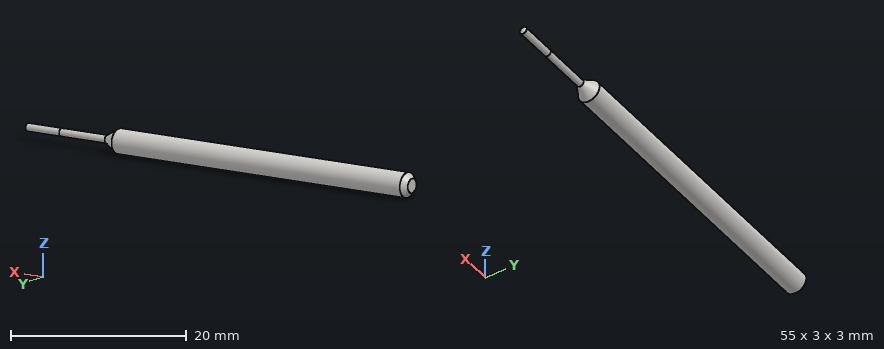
import cadquery as cq
import math

overall_length = 55.0
shank_diameter = 3.0
cutter_diameter = 1.0
cutter_length = 5.0

end_chamfer = 0.65
neck_diameter = cutter_diameter
neck_length = 6.5
taper_half_angle = 30.0

tip_angle = 140.0

shank_radius = shank_diameter / 2
neck_radius = neck_diameter / 2
cutter_radius = cutter_diameter / 2
taper_length = (shank_radius - neck_radius) / math.tan(math.radians(taper_half_angle))
tip_height = cutter_radius / math.tan(math.radians(tip_angle / 2))

cutter_start = overall_length - cutter_length
neck_start = cutter_start - neck_length
taper_start = neck_start - taper_length
tip_start = overall_length - tip_height


def turned_body(outline):
    """Revolve a closed half outline of (x, -radius) points about the X axis."""
    return cq.Workplane("XY").polyline(outline).close().revolve(360, (0, 0, 0), (1, 0, 0))


def make_shank():
    """Chamfered shank that tapers down to a slim neck."""
    return turned_body([
        (0, 0),
        (0, -(shank_radius - end_chamfer)),
        (end_chamfer, -shank_radius),
        (taper_start, -shank_radius),
        (neck_start, -neck_radius),
        (cutter_start, -neck_radius),
        (cutter_start, 0),
    ])


def make_cutter():
    """Plain cylindrical cutter with a shallow conical tip, butted against the neck."""
    return turned_body([
        (cutter_start, 0),
        (cutter_start, -cutter_radius),
        (tip_start, -cutter_radius),
        (overall_length, 0),
    ])


shank = make_shank()
cutter = make_cutter()

result = cq.Compound.makeCompound([shank.val(), cutter.val()])